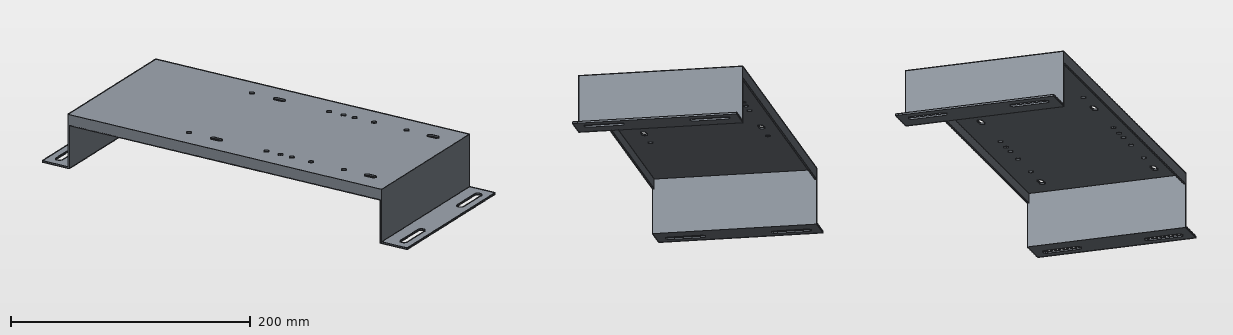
import cadquery as cq

total_length = 358.0
width = 140.0
height = 49.0
sheet = 1.5

foot_length = 25.0
lip_height = 10.0
deck_length = total_length - 2 * foot_length

row_y = 50.0
hole_diameter = 4.2
hole_xs = [-47.5, 28.5, 42.5, 53.5, 72.5, 104.5]
deck_slot_xs = [-20.5, 130.5]
deck_slot_length = 11.0
deck_slot_width = 4.8

foot_slot_x = 169.0
foot_slot_y = 45.0
foot_slot_length = 34.0
foot_slot_width = 6.5
along_y = 90


def block(length_x, width_y, height_z, x, y, z):
    """Box centred on x and y, with its underside at z."""
    box = cq.Workplane("XY").box(length_x, width_y, height_z, centered=(True, True, False))
    return box.translate((x, y, z))


def grid(xs, ys):
    """Every combination of the given x and y positions."""
    return [(x, y) for x in xs for y in ys]


def bent_sheet():
    """Deck with an end wall and outward foot at each end, and a lip along each long edge."""
    body = block(deck_length, width, sheet, 0, 0, height - sheet)
    wall_x = (deck_length - sheet) / 2
    foot_x = (total_length - foot_length - sheet) / 2
    lip_y = (width - sheet) / 2
    for side in (-1, 1):
        body = body.union(block(sheet, width, height, side * wall_x, 0, 0))
        body = body.union(block(foot_length + sheet, width, sheet, side * foot_x, 0, 0))
        body = body.union(block(deck_length, sheet, lip_height, 0, side * lip_y, height - lip_height))
    return body


def deck_openings():
    """Cutters for the two rows of round holes and short slots through the deck."""
    rows = (-row_y, row_y)
    plane = cq.Workplane("XY").workplane(offset=height - sheet)
    holes = plane.pushPoints(grid(hole_xs, rows)).circle(hole_diameter / 2).extrude(sheet)
    slots = plane.pushPoints(grid(deck_slot_xs, rows)).slot2D(deck_slot_length, deck_slot_width).extrude(sheet)
    return holes.union(slots)


def foot_slots():
    """Cutters for the two long slots through each foot."""
    centres = grid((-foot_slot_x, foot_slot_x), (-foot_slot_y, foot_slot_y))
    outline = cq.Workplane("XY").pushPoints(centres).slot2D(foot_slot_length, foot_slot_width, along_y)
    return outline.extrude(sheet)


result = bent_sheet().cut(deck_openings()).cut(foot_slots())